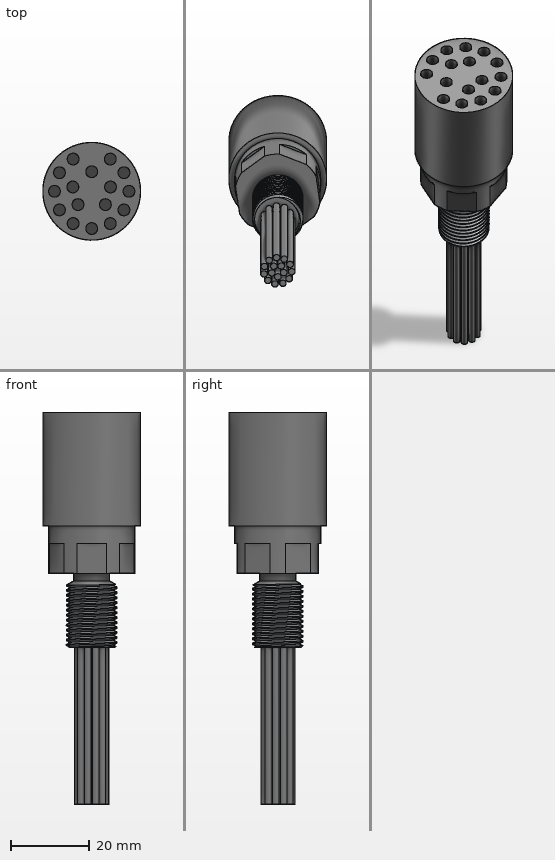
import cadquery as cq
import math

total_length = 100.0
wire_length = 40.0
thread_length = 17.0
neck_length = 1.9
flats_length = 7.6
collar_length = 4.5

body_diameter = 25.0
collar_diameter = 22.0
across_flats = 20.7
flat_count = 6
neck_diameter = 9.2

thread_diameter = 13.0
thread_root_diameter = 11.0
thread_turns = 13
turned_thread_length = 16.5
thread_tip_chamfer = 0.6
thread_shoulder_length = 1.1

hole_diameter = 3.0
hole_depth = 10.0
outer_hole_radius = 9.5
outer_hole_step = 30
inner_hole_centres = [(0, 5.0), (-4.8, 1.1), (4.8, 1.1), (-3.5, -3.4), (3.5, -3.4)]

wire_diameter = 1.7
outer_wire_count = 11
outer_wire_radius = 3.6
inner_wire_count = 5
inner_wire_radius = 1.6
wire_embedding = 5.0

thread_bottom = wire_length
neck_bottom = thread_bottom + thread_length
flats_bottom = neck_bottom + neck_length
flats_top = flats_bottom + flats_length
body_bottom = flats_top + collar_length
body_length = total_length - body_bottom


def rod(diameter, bottom, length):
    return cq.Workplane("XY").workplane(offset=bottom).circle(diameter / 2).extrude(length)


def make_collar():
    """Round collar whose lower part carries a hexagon of wrench flats."""
    collar = rod(collar_diameter, flats_bottom, flats_length + collar_length)
    blank = rod(body_diameter, flats_bottom, flats_length)
    corner_diameter = across_flats / math.cos(math.pi / flat_count)
    hexagon = (
        cq.Workplane("XY")
        .workplane(offset=flats_bottom)
        .polygon(flat_count, corner_diameter)
        .extrude(flats_length)
    )
    return collar.cut(blank.cut(hexagon))


def make_thread():
    """Externally threaded spigot with a conical shoulder and a chamfered tip."""
    radius = thread_diameter / 2
    outline = [
        (0, thread_bottom),
        (radius - thread_tip_chamfer, thread_bottom),
        (radius, thread_bottom + thread_tip_chamfer),
        (radius, neck_bottom - thread_shoulder_length),
        (neck_diameter / 2, neck_bottom),
        (0, neck_bottom),
    ]
    blank = cq.Workplane("XZ").polyline(outline).close().revolve(360, (0, 0), (0, 1))
    return blank.cut(make_thread_groove())


def make_thread_groove():
    """Right-handed V-shaped helical cutter that runs out past both thread ends."""
    pitch = turned_thread_length / thread_turns
    root_radius = thread_root_diameter / 2
    crest_radius = thread_diameter / 2
    crest_land = 0.3
    overshoot = 0.1
    half_width = (pitch - crest_land) / 2
    outer_half_width = half_width * (1 + overshoot / (crest_radius - root_radius))
    start = thread_bottom - pitch / 2
    helix_height = thread_length - thread_shoulder_length + pitch
    helix = cq.Wire.makeHelix(pitch, helix_height, root_radius, cq.Vector(0, 0, start))
    profile = (
        cq.Workplane("XZ")
        .moveTo(root_radius, start)
        .lineTo(crest_radius + overshoot, start + outer_half_width)
        .lineTo(crest_radius + overshoot, start - outer_half_width)
        .close()
    )
    return profile.sweep(cq.Workplane(helix), isFrenet=True)


def drill_contact_holes(body):
    """Blind holes: an inner group of five and an outer ring with one place left empty at +Y."""
    centres = list(inner_hole_centres)
    for angle in range(90 + outer_hole_step, 90 + 360, outer_hole_step):
        x = outer_hole_radius * math.cos(math.radians(angle))
        y = outer_hole_radius * math.sin(math.radians(angle))
        centres.append((x, y))
    return body.faces(">Z").workplane().pushPoints(centres).hole(hole_diameter, hole_depth)


def make_wire_ring(radius, count):
    """Ring of parallel wires, one of them at +Y, rooted inside the threaded spigot."""
    return (
        cq.Workplane("XY")
        .polarArray(radius, 90, 360, count)
        .circle(wire_diameter / 2)
        .extrude(wire_length + wire_embedding)
    )


body = drill_contact_holes(rod(body_diameter, body_bottom, body_length))

result = (
    body.union(make_collar())
    .union(rod(neck_diameter, neck_bottom, neck_length))
    .union(make_thread())
    .union(make_wire_ring(outer_wire_radius, outer_wire_count))
    .union(make_wire_ring(inner_wire_radius, inner_wire_count))
)